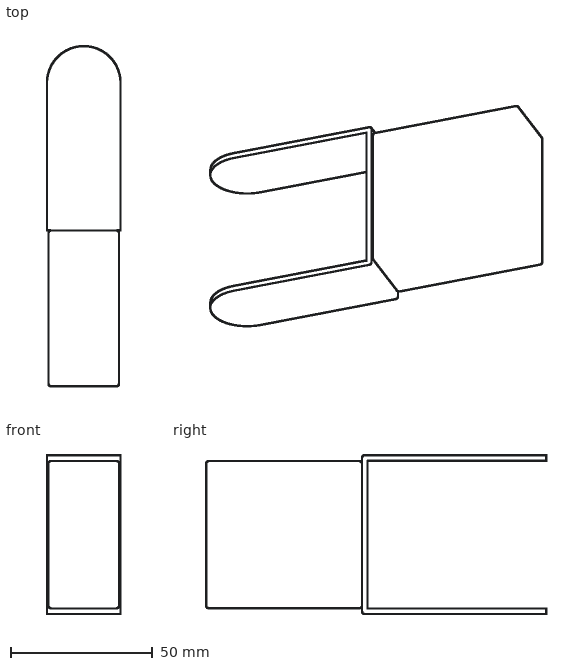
import cadquery as cq

total_length = 120.0
strap_width = 26.0
strap_height = 56.0
strap_thickness = 2.0
inner_height = strap_height - 2 * strap_thickness
strap_length = 65.0
bend_radius = 1.0
block_width = 25.0
block_height = inner_height
block_edge_radius = 1.0

front_y = -total_length / 2
strap_front_y = total_length / 2 - strap_length
block_length = total_length - strap_length


def make_strap():
    """U-shaped strap, open toward +Y, with fully rounded arm ends."""
    end_radius = strap_width / 2
    outer = (
        cq.Workplane("XY")
        .workplane(offset=-strap_height / 2)
        .moveTo(-end_radius, 0)
        .lineTo(end_radius, 0)
        .lineTo(end_radius, strap_length - end_radius)
        .threePointArc((0, strap_length), (-end_radius, strap_length - end_radius))
        .close()
        .extrude(strap_height)
        .edges("|X and <Y")
        .fillet(bend_radius)
    )
    gap = (
        cq.Workplane("XY")
        .box(strap_width, strap_length, inner_height, centered=(True, False, True))
        .translate((0, strap_thickness, 0))
    )
    return outer.cut(gap).translate((0, strap_front_y, 0))


def make_block():
    """Solid block with all its edges rounded."""
    return (
        cq.Workplane("XY")
        .box(block_width, block_length, block_height, centered=(True, False, True))
        .edges()
        .fillet(block_edge_radius)
        .translate((0, front_y, 0))
    )


result = make_strap().union(make_block())